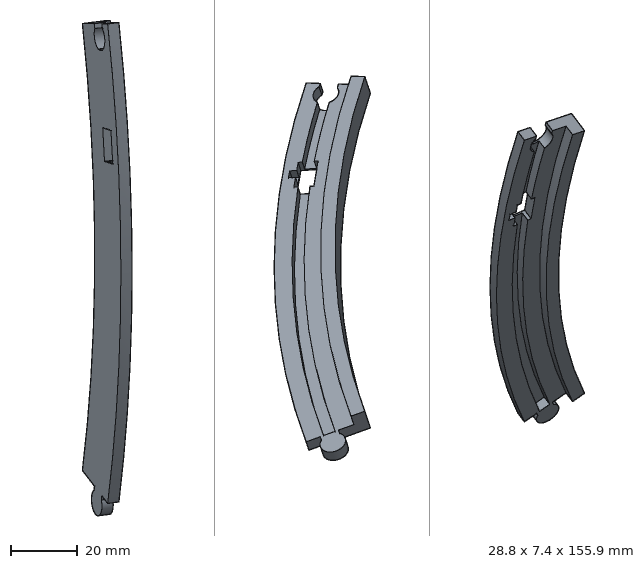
import cadquery as cq
import math

arc_angle = 30.0
inner_radius = 270.0
overall_width = 28.81
rail_height = 7.4
rail_width = 4.4
plate_thickness = 3.7

knob_radius = 3.95
neck_width = 5.8
joint_offset = 12.2
joint_reach = 4.12

window_width = 6.2
window_length = 10.2
window_angle = 7.5

front_skin = 0.6
groove_width = 3.7
notch_height = 2.8
notch_reach = 2.2
notch_shift = 0.4

half_angle = arc_angle / 2
joint_radius = inner_radius + joint_offset
outer_radius = overall_width + inner_radius * math.cos(math.radians(half_angle))


def polar(radius, degrees):
    """X and Z of a point on the track, measured from the arc centre."""
    angle = math.radians(degrees)
    return (radius * math.cos(angle), radius * math.sin(angle))


def place(body, radius, degrees):
    """Turn a body to the radial direction and move it to a point on the track."""
    x, z = polar(radius, degrees)
    return body.rotate((0, 0, 0), (0, 1, 0), -degrees).translate((x, 0, z))


def curved_band(inner, outer, depth):
    """Ring sector lying in XZ between the two end faces, with its front face at Y = 0."""
    return (
        cq.Workplane("XZ")
        .moveTo(*polar(inner, -half_angle))
        .threePointArc(polar(inner, 0), polar(inner, half_angle))
        .lineTo(*polar(outer, half_angle))
        .threePointArc(polar(outer, 0), polar(outer, -half_angle))
        .close()
        .extrude(-depth)
    )


def joint_shape():
    """Disc below the origin, joined to it by a straight neck."""
    plane = cq.Workplane("XZ")
    disc = plane.center(0, -joint_reach).circle(knob_radius).extrude(-plate_thickness)
    neck = plane.center(0, -joint_reach / 2).rect(neck_width, joint_reach).extrude(-plate_thickness)
    return disc.union(neck)


def window():
    """Through window with a notch in its outer wall, open at the back."""
    opening = cq.Workplane("XZ").rect(window_width, window_length).extrude(-plate_thickness)
    notch_run = window_width / 2 + notch_reach
    notch = (
        cq.Workplane("XZ", origin=(0, front_skin, 0))
        .center(notch_run / 2, notch_shift)
        .rect(notch_run, notch_height)
        .extrude(front_skin - plate_thickness)
    )
    return opening.union(notch)


def back_groove():
    """Groove along the joint circle, open at the back; the socket cuts into its upper end."""
    inner = joint_radius - groove_width / 2
    depth = plate_thickness - front_skin
    return curved_band(inner, inner + groove_width, depth).translate((0, front_skin, 0))


plate = curved_band(inner_radius, outer_radius, plate_thickness)
rail = curved_band(inner_radius, inner_radius + rail_width, rail_height)
knob = place(joint_shape(), joint_radius, -half_angle)
socket = place(joint_shape(), joint_radius, half_angle)
window_cut = place(window(), joint_radius, window_angle)

result = plate.union(rail).cut(back_groove()).union(knob).cut(socket).cut(window_cut)